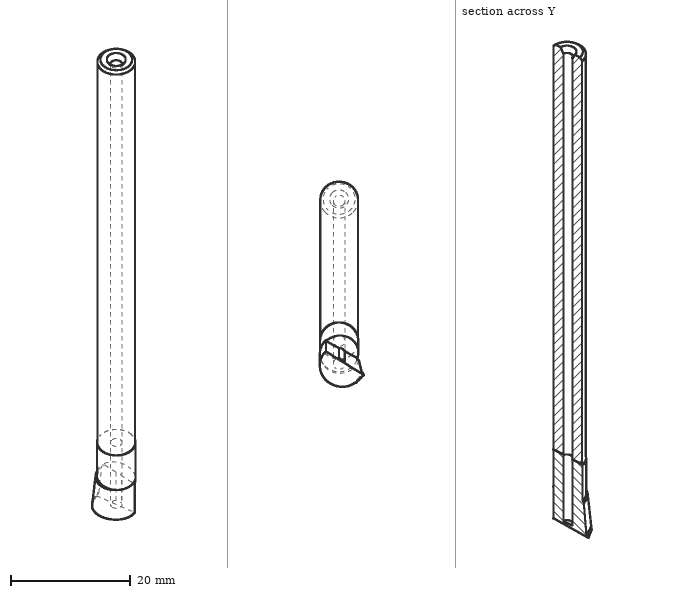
import cadquery as cq
import math

TOTAL_LENGTH = 102.7

SHANK_DIAMETER = 6.4
SHANK_CHAMFER = 0.5
BORE_DIAMETER = 2.0
COUNTERSINK_DIAMETER = 3.2
COUNTERSINK_ANGLE = 60.0

HEAD_LENGTH = 15.1
COLLAR_DIAMETER = 6.5
BORE_FLOOR_Z = 0.9
FLARE_HEIGHT = 7.2
FLARE_TOP_RADIUS = 3.4
FLARE_BOTTOM_RADIUS = 4.0
FLARE_OFFSET = 0.15
SHOULDER_HEIGHT = 0.3

CLEARANCE_DIAMETER = 7.5
CLEARANCE_OFFSET = 0.5

HEAD_WIDTH = 7.7
TIP_X = COLLAR_DIAMETER / 2 - HEAD_WIDTH
TIP_Y = -0.2
LIP_HEIGHT = 0.8
LIP_LENGTH = 6.8
LIP_TAPER = 10.0
LIP_HEEL_X = -3.7
LIP_HEEL_Y = -2.2

RAKE_ANGLE = 13.0
BOTTOM_RELIEF_ANGLE = 7.0
BOTTOM_DISH_ANGLE = 2.0

CHIP_SPACE_HEIGHT = 8.2
RUNOUT_ANGLE = 12.5

REACH = 20.5


def make_shank():
    """Bar with a chamfered top end and a countersunk bore along its full length."""
    return (
        cq.Workplane("XY", origin=(0, 0, HEAD_LENGTH))
        .circle(SHANK_DIAMETER / 2)
        .extrude(TOTAL_LENGTH - HEAD_LENGTH)
        .faces(">Z")
        .chamfer(SHANK_CHAMFER)
        .faces(">Z")
        .workplane()
        .cskHole(BORE_DIAMETER, COUNTERSINK_DIAMETER, COUNTERSINK_ANGLE)
    )


def place_on_rake(cutter):
    """Move a cutting block from the tip-centred frame, X along the rake face, onto the head."""
    return cutter.rotate((0, 0, 0), (0, 0, 1), RAKE_ANGLE).translate((TIP_X, TIP_Y, 0))


def make_flare():
    """Cone that widens downward below a short shoulder, kept to the -Y side of the
    rake face and trimmed by the eccentric clearance cylinder."""
    cone = (
        cq.Workplane("XZ")
        .moveTo(0, 0)
        .lineTo(FLARE_BOTTOM_RADIUS, 0)
        .lineTo(FLARE_TOP_RADIUS, FLARE_HEIGHT)
        .lineTo(COLLAR_DIAMETER / 2 - FLARE_OFFSET, FLARE_HEIGHT + SHOULDER_HEIGHT)
        .lineTo(0, FLARE_HEIGHT + SHOULDER_HEIGHT)
        .close()
        .revolve(360, (0, 0, 0), (0, 1, 0))
        .translate((-FLARE_OFFSET, 0, 0))
    )
    clearance = (
        cq.Workplane("XY")
        .center(-CLEARANCE_OFFSET, 0)
        .circle(CLEARANCE_DIAMETER / 2)
        .extrude(REACH)
    )
    rake_side = cq.Workplane("XY").box(2 * REACH, REACH, REACH, centered=(True, False, False))
    return cone.intersect(clearance).cut(place_on_rake(rake_side))


def make_lip():
    """Low tapered wedge at the bottom of the head; the rake face cuts it to the tip."""
    rake = math.radians(RAKE_ANGLE)
    inner_end = (TIP_X + LIP_LENGTH * math.cos(rake), TIP_Y + LIP_LENGTH * math.sin(rake))
    heel = (LIP_HEEL_X, LIP_HEEL_Y)
    beyond_tip = (2 * TIP_X - LIP_HEEL_X, 2 * TIP_Y - LIP_HEEL_Y)
    return (
        cq.Workplane("XY")
        .polyline([beyond_tip, inner_end, heel])
        .close()
        .extrude(LIP_HEIGHT, taper=LIP_TAPER)
    )


def make_chip_space():
    """Block behind the rake face with a sloping runout that drops away from the tip."""
    runout_drop = REACH * math.tan(math.radians(RUNOUT_ANGLE))
    profile = [
        (-REACH, -REACH),
        (REACH, -REACH),
        (REACH, CHIP_SPACE_HEIGHT - runout_drop),
        (0, CHIP_SPACE_HEIGHT),
        (-REACH, CHIP_SPACE_HEIGHT + runout_drop),
    ]
    block = cq.Workplane("XZ").polyline(profile).close().extrude(-REACH)
    return place_on_rake(block)


def make_bottom_relief():
    """Block below the tip whose top rises toward -Y and, slightly, toward +X."""
    return (
        cq.Workplane("XY")
        .box(2 * REACH, 2 * REACH, REACH, centered=(True, True, False))
        .translate((0, 0, -REACH))
        .rotate((0, 0, 0), (1, 0, 0), -BOTTOM_RELIEF_ANGLE)
        .rotate((0, 0, 0), (0, 1, 0), -BOTTOM_DISH_ANGLE)
        .translate((TIP_X, TIP_Y, 0))
    )


def make_head_bore():
    """Blind continuation of the shank bore; it breaks shallowly through the rake face."""
    return (
        cq.Workplane("XY", origin=(0, 0, BORE_FLOOR_Z))
        .circle(BORE_DIAMETER / 2)
        .extrude(HEAD_LENGTH - BORE_FLOOR_Z)
    )


def make_head():
    """Collar, flare and lip in one piece, cut to form the rake face and the bottom."""
    collar = cq.Workplane("XY").circle(COLLAR_DIAMETER / 2).extrude(HEAD_LENGTH)
    blank = collar.union(make_flare()).union(make_lip())
    return blank.cut(make_chip_space()).cut(make_bottom_relief()).cut(make_head_bore())


shank = make_shank()
head = make_head()

result = cq.Compound.makeCompound([shank.val(), head.val()])